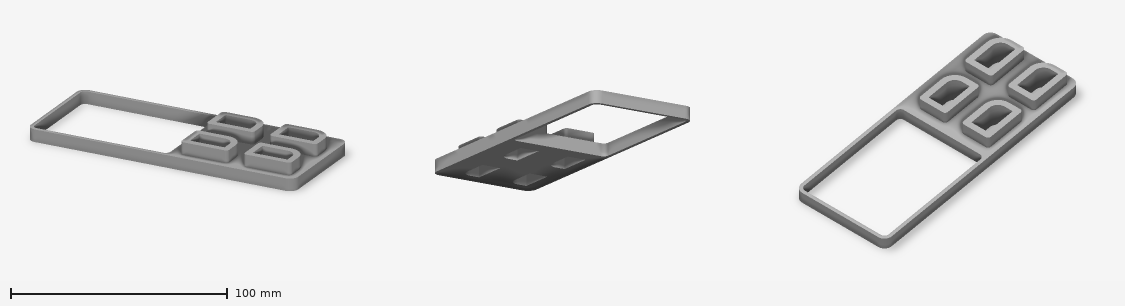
import cadquery as cq

plate_length = 139.1
plate_width = 54.7
plate_thickness = 6.3
plate_corner_radius = 4.5

rim = 2.0
window_length = 70.7
window_width = plate_width - 2 * rim
window_corner_radius = 2.5

opening_length = 18.0
opening_width = 9.7
socket_wall = 3.3
socket_height = 6.3
socket_large_radius = 8.3
socket_small_radius = 1.7
opening_large_radius = socket_large_radius - socket_wall
socket_length = opening_length + 2 * socket_wall
socket_width = opening_width + 2 * socket_wall

first_socket_x = 78.0
first_socket_y = 3.8
socket_pitch_x = 32.7
socket_pitch_y = 25.9
columns = 2
rows = 2

total_height = plate_thickness + socket_height


def corner_block(x, y, length, width, height):
    """Box standing on Z = 0 with its lower-left corner at (x, y)."""
    return cq.Workplane("XY").box(length, width, height, centered=False).translate((x, y, 0))


def socket_body(x, y):
    """Solid socket, with the large round at its +X +Y corner."""
    body = corner_block(x, y, socket_length, socket_width, total_height)
    body = body.edges("|Z").edges("<X or <Y").fillet(socket_small_radius)
    return body.edges("|Z").edges(">X").edges(">Y").fillet(socket_large_radius)


def socket_opening(x, y):
    """Through opening that follows the socket's large round."""
    opening = corner_block(x + socket_wall, y + socket_wall, opening_length, opening_width, total_height)
    return opening.edges("|Z").edges(">X").edges(">Y").fillet(opening_large_radius)


plate = corner_block(0, 0, plate_length, plate_width, plate_thickness)
plate = plate.edges("|Z").fillet(plate_corner_radius)

window = corner_block(rim, rim, window_length, window_width, plate_thickness)
window = window.edges("|Z").fillet(window_corner_radius)

result = plate.cut(window)

for column in range(columns):
    for row in range(rows):
        socket_x = first_socket_x + column * socket_pitch_x
        socket_y = first_socket_y + row * socket_pitch_y
        result = result.union(socket_body(socket_x, socket_y))
        result = result.cut(socket_opening(socket_x, socket_y))